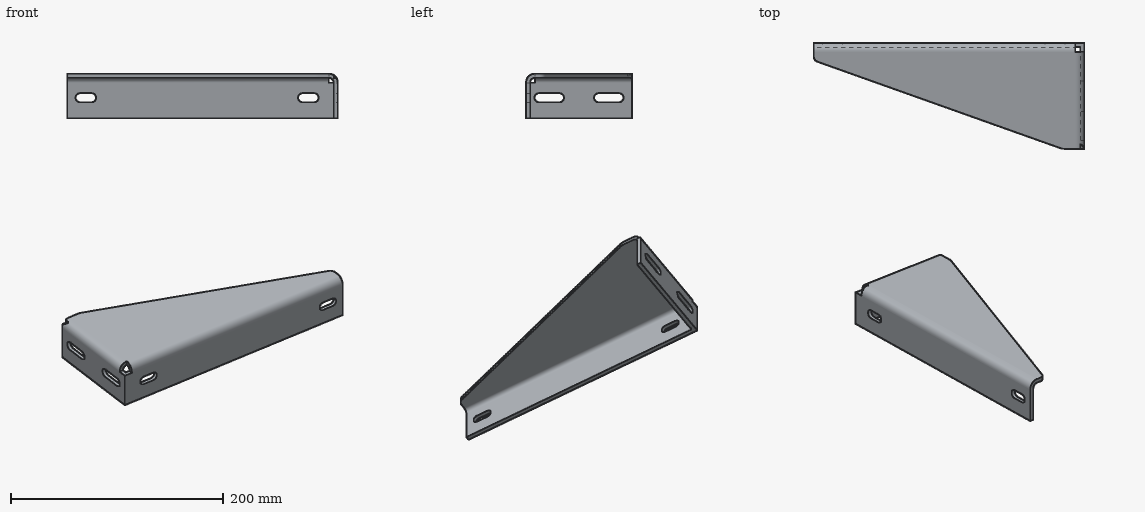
import cadquery as cq

length = 255.0
width = 100.0
height = 42.0
thickness = 4.0
bend_radius = 8.5

slant_start_y = -16.5
slant_end_x = 234.3
narrow_corner_radius = 5.5
wide_corner_radius = 12.0

slot_z = -22.7
slot_height = 8.5
back_slot_length = 19.0
back_slot_centers = (17.5, 227.2)
end_slot_length = 27.5
end_slot_centers = (-22.0, -78.0)

notch_radius = 4.5

inner_radius = bend_radius - thickness
plate_end_x = length - bend_radius


def make_fold(plane, run):
    """Quarter-round bend that leaves the plate at the local origin and turns down."""
    middle_of_arc = 0.5 ** 0.5
    return (
        cq.Workplane(plane)
        .lineTo(0, -thickness)
        .threePointArc(
            (inner_radius * middle_of_arc, -bend_radius + inner_radius * middle_of_arc),
            (inner_radius, -bend_radius),
        )
        .lineTo(bend_radius, -bend_radius)
        .threePointArc(
            (bend_radius * middle_of_arc, -bend_radius + bend_radius * middle_of_arc),
            (0, 0),
        )
        .close()
        .extrude(run)
    )


def make_plate():
    """Tapered shelf plate with rounded corners at both ends of the slanted edge."""
    plate = (
        cq.Workplane("XY")
        .moveTo(0, -bend_radius)
        .lineTo(0, slant_start_y)
        .lineTo(slant_end_x, -width)
        .lineTo(plate_end_x, -width)
        .lineTo(plate_end_x, -bend_radius)
        .close()
        .extrude(-thickness)
    )
    plate = plate.edges(cq.selectors.NearestToPointSelector((0, slant_start_y, -thickness / 2)))
    plate = plate.fillet(narrow_corner_radius)
    plate = plate.edges(cq.selectors.NearestToPointSelector((slant_end_x, -width, -thickness / 2)))
    return plate.fillet(wide_corner_radius)


def make_flanges():
    """L-shaped wall below the folds, with a sharp vertical corner."""
    return (
        cq.Workplane("XY", origin=(0, 0, -height))
        .lineTo(length, 0)
        .lineTo(length, -width)
        .lineTo(length - thickness, -width)
        .lineTo(length - thickness, -thickness)
        .lineTo(0, -thickness)
        .close()
        .extrude(height - bend_radius)
    )


def make_back_slots():
    """Horizontal slots through the back flange."""
    return (
        cq.Workplane("XZ")
        .pushPoints([(x, slot_z) for x in back_slot_centers])
        .slot2D(back_slot_length, slot_height)
        .extrude(thickness)
    )


def make_end_slots():
    """Horizontal slots through the end flange."""
    return (
        cq.Workplane("YZ", origin=(length, 0, 0))
        .pushPoints([(y, slot_z) for y in end_slot_centers])
        .slot2D(end_slot_length, slot_height)
        .extrude(-thickness)
    )


def make_notch():
    """Round cutter along X at the free top corner of the end fold."""
    return (
        cq.Workplane("YZ", origin=(length - thickness, -width, 0))
        .circle(notch_radius)
        .extrude(thickness)
    )


back_fold_plane = cq.Plane(origin=(0, -bend_radius, 0), xDir=(0, 1, 0), normal=(1, 0, 0))
end_fold_plane = cq.Plane(origin=(plate_end_x, -bend_radius, 0), xDir=(1, 0, 0), normal=(0, -1, 0))

result = (
    make_plate()
    .union(make_fold(back_fold_plane, plate_end_x))
    .union(make_fold(end_fold_plane, width - bend_radius))
    .union(make_flanges())
    .cut(make_back_slots())
    .cut(make_end_slots())
    .cut(make_notch())
)